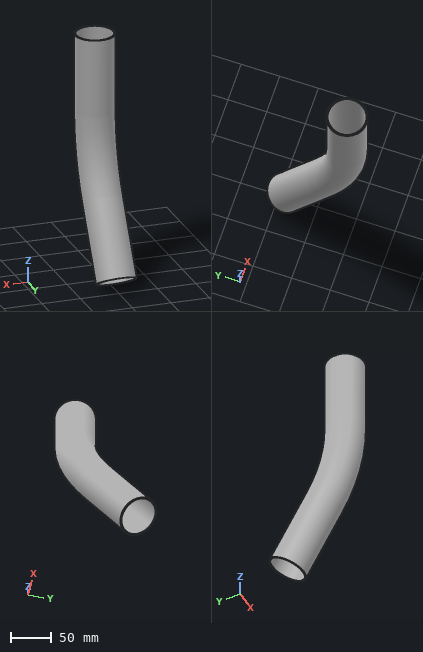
import cadquery as cq
import math

overall_height = 310.2
outer_diameter = 51.0
inner_diameter = 47.5
leg_length = 101.5
bend_angle = 30.0

outer_radius = outer_diameter / 2
bend_sin = math.sin(math.radians(bend_angle))
bend_cos = math.cos(math.radians(bend_angle))

legs_height = leg_length * (1 + bend_cos)
rim_drop = outer_radius * bend_sin
bend_radius = (overall_height - legs_height - rim_drop) / bend_sin


def bend_point(angle):
    """Centreline point (Y, Z) at an angle in degrees along the bend, from its upper end."""
    turn = math.radians(angle)
    return bend_radius * (1 - math.cos(turn)), -bend_radius * math.sin(turn)


bend_end = bend_point(bend_angle)
lower_end = (bend_end[0] + leg_length * bend_sin, bend_end[1] - leg_length * bend_cos)
centreline = (
    cq.Workplane("YZ")
    .moveTo(0, leg_length)
    .lineTo(0, 0)
    .threePointArc(bend_point(bend_angle / 2), bend_end)
    .lineTo(*lower_end)
)

result = (
    cq.Workplane("XY", origin=(0, 0, leg_length))
    .circle(outer_radius)
    .circle(inner_diameter / 2)
    .sweep(centreline)
)